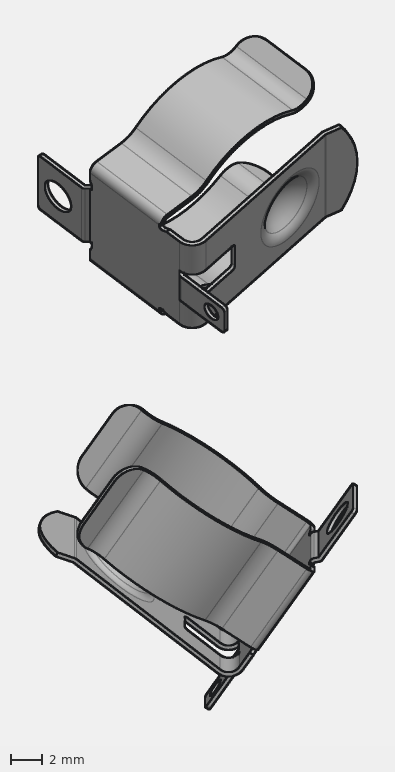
import cadquery as cq
import math

thickness = 0.3

arm_width = 6.38
arm_outer_z = 4.7
flange_radius = 0.6
spring_start_x = 4.89
spring_half_height = 3.96

left_relief_start_x = -3.05
left_relief_bottom = (-3.0, 2.85)
left_relief_turn = (-3.07, 3.07)
left_relief_end_z = 3.41
right_relief_start_x = 3.04
right_relief_bottom = (3.15, 3.85)
right_relief_turn = (3.38, 3.81)
right_relief_end_x = 3.73

arm_root_length = 2.2
arm_crown_z = 6.65
neck_radius = 2.1
crown_radius = 6.99
crown_fall_angle = 29.2
throat_radius = 1.28
lead_in_angle = 31.0
lead_in_length = 1.48
lead_in_corner_radius = 1.46

spring_bend_radius = 1.15
spring_lean = 5.0
spring_length = 11.76
kink_radius = 0.15
tip_lean = 14.5
tip_length = 2.34
tip_nose_radius = 7.27
slot_height = 2.32
slot_end_y = 4.1

dimple_y = 9.48
dimple_foot_radius = 2.87
dimple_rise = 1.28
dimple_crown_radius = 3.1

tab_drop = 0.3
jog_angle = 45.0
corner_radius = 0.25
left_tab_reach = 7.56
left_tab_height = 5.1
left_hole_diameter = 2.37
left_hole_x = 5.76
right_tab_reach = 9.24
right_hole_diameter = 1.23
right_hole_x = 8.06

GAP = 1.68e-07
XY = cq.Plane.XY()
ZY = cq.Plane(origin=(0, 0, 0), xDir=(0, 0, 1), normal=(-1, 0, 0))


def step(point, heading, length):
    """Point reached by going a length along a heading in degrees."""
    angle = math.radians(heading)
    return point[0] + length * math.cos(angle), point[1] + length * math.sin(angle)


def follow(outline, start, stretches):
    """Add straight or round stretches, given as (middle, end), and skip those of no length."""
    for middle, end in stretches:
        chord = math.dist(start, end)
        bulge = math.dist(middle, ((start[0] + end[0]) / 2, (start[1] + end[1]) / 2))
        if chord > GAP and bulge > GAP:
            outline = outline.threePointArc(middle, end)
        elif chord > GAP:
            outline = outline.lineTo(*end)
        start = end
    return outline


def bent_strip(plane, start, moves, width):
    """Bend a strip along moves, first heading along the plane's x axis.

    A move is (length,) for a flat or (radius, turn) for a bend, left turns positive.
    The moves follow the right-hand face and the thickness lies to its left.
    Returns the strip and the end point and heading of its right-hand face.
    """
    point = start
    heading = 0.0
    right_face = []
    left_face = []
    for move in moves:
        if len(move) == 1:
            middle = step(point, heading, move[0] / 2)
            point = step(point, heading, move[0])
            middle_heading = heading
        else:
            radius, turn = move
            side = math.copysign(90, turn)
            centre = step(point, heading + side, radius)
            middle_heading = heading + turn / 2
            heading += turn
            middle = step(centre, middle_heading - side, radius)
            point = step(centre, heading - side, radius)
        right_face.append((middle, point))
        left_face.append((step(middle, middle_heading + 90, thickness), step(point, heading + 90, thickness)))

    left_ends = [step(start, 90, thickness)] + [end for _, end in left_face]
    way_back = [(left_face[i][0], left_ends[i]) for i in reversed(range(len(moves)))]
    outline = cq.Workplane(plane).moveTo(*start)
    outline = follow(outline, start, right_face)
    outline = follow(outline.lineTo(*left_ends[-1]), left_ends[-1], way_back)
    return outline.close().extrude(width / 2, both=True), point, heading


def base_plate():
    """Flat base with corner reliefs beside the left tab and the spring plate."""
    edge_x = arm_width / 2
    top_z = arm_outer_z - flange_radius
    upper_half = (
        cq.Workplane("XZ")
        .moveTo(-edge_x, 0)
        .lineTo(-edge_x, left_tab_height / 2)
        .lineTo(left_relief_start_x, left_tab_height / 2)
        .threePointArc(left_relief_bottom, left_relief_turn)
        .tangentArcPoint((-edge_x, left_relief_end_z), relative=False)
        .lineTo(-edge_x, top_z)
        .lineTo(right_relief_start_x, top_z)
        .threePointArc(right_relief_bottom, right_relief_turn)
        .tangentArcPoint((right_relief_end_x, spring_half_height), relative=False)
        .lineTo(spring_start_x, spring_half_height)
        .lineTo(spring_start_x, 0)
        .close()
        .extrude(-thickness)
    )
    return upper_half.union(upper_half.mirror("XY"))


def clip_arm():
    """Upper arm: flange bend, flat root, neck, round crown, throat and flared lead-in."""
    rise_ratio = (arm_crown_z - arm_outer_z) / (neck_radius + crown_radius)
    climb_angle = math.degrees(math.acos(1 - rise_ratio))
    moves = [
        (flange_radius, 90),
        (arm_root_length,),
        (neck_radius, -climb_angle),
        (crown_radius, climb_angle + crown_fall_angle),
        (throat_radius, -crown_fall_angle - lead_in_angle),
        (lead_in_length,),
    ]
    arm, _, _ = bent_strip(ZY, (arm_outer_z - flange_radius, 0), moves, arm_width)
    return arm.faces(">Y").edges("#X").fillet(lead_in_corner_radius)


def spring_plate():
    """Leaning plate with a slot at its foot, a dimple and a kinked tip with a round nose."""
    moves = [
        (spring_bend_radius, 90 + spring_lean),
        (spring_length,),
        (kink_radius, -spring_lean - tip_lean),
        (tip_length,),
    ]
    plate, tip, tip_heading = bent_strip(XY, (spring_start_x, 0), moves, 2 * spring_half_height)
    slot = (
        cq.Workplane("XY")
        .box(2 * spring_bend_radius, 2 * slot_end_y, slot_height)
        .faces(">Y")
        .edges("|X")
        .fillet(corner_radius)
        .translate((spring_start_x + spring_bend_radius, 0, 0))
    )
    plate = plate.cut(slot).intersect(nose_blank(tip, tip_heading))
    return add_dimple(plate)


def nose_blank(tip, tip_heading):
    """Disc across the tip that trims it to the nose arc, joined to a block holding the rest of the plate."""
    x_across, y_across = step((0, 0), tip_heading - 90, 1)
    centre = step(tip, tip_heading, -tip_nose_radius)
    across = cq.Plane(origin=(*centre, 0), xDir=(0, 0, 1), normal=(x_across, y_across, 0))
    reach = 4 * tip_nose_radius
    disc = cq.Workplane(across).circle(tip_nose_radius).extrude(reach / 2, both=True)
    block = (
        cq.Workplane(across)
        .center(0, reach / 2)
        .rect(reach, reach)
        .extrude(reach / 2, both=True)
    )
    return disc.union(block)


def add_dimple(plate):
    """Press a hollow dome of uniform thickness out of the plate, towards the arms."""
    bend_end_y = spring_bend_radius * (1 + math.sin(math.radians(spring_lean)))
    bend_end_x = spring_start_x + spring_bend_radius * math.cos(math.radians(spring_lean))
    along_x, along_y = step((0, 0), 90 + spring_lean, 1)
    back_x, back_y = step((bend_end_x, bend_end_y), 180 + spring_lean, thickness)
    distance = (dimple_y - back_y) / along_y
    foot = (back_x + distance * along_x, dimple_y, 0)

    slope = 2 * math.atan(dimple_rise / dimple_foot_radius)
    foot_fillet = dimple_foot_radius / math.sin(slope) - dimple_crown_radius
    crown_centre = (0, dimple_rise - dimple_crown_radius)
    fillet_centre = (dimple_foot_radius, foot_fillet)

    def crown(radius, angle):
        return crown_centre[0] + radius * math.sin(angle), crown_centre[1] + radius * math.cos(angle)

    def fillet(radius, angle):
        return fillet_centre[0] - radius * math.sin(angle), fillet_centre[1] - radius * math.cos(angle)

    crown_inner = dimple_crown_radius - thickness
    fillet_outer = foot_fillet + thickness
    section_plane = cq.Plane(origin=foot, xDir=(0, 0, 1), normal=(-along_x, -along_y, 0))
    dome = (
        cq.Workplane(section_plane)
        .moveTo(*crown(dimple_crown_radius, 0))
        .threePointArc(crown(dimple_crown_radius, slope / 2), crown(dimple_crown_radius, slope))
        .threePointArc(fillet(foot_fillet, slope / 2), fillet(foot_fillet, 0))
        .lineTo(*fillet(fillet_outer, 0))
        .threePointArc(fillet(fillet_outer, slope / 2), fillet(fillet_outer, slope))
        .threePointArc(crown(crown_inner, slope / 2), crown(crown_inner, 0))
        .close()
        .revolve(360, (0, 0), (0, 1))
    )
    opening_plane = cq.Plane(origin=foot, xDir=(0, 0, 1), normal=(-along_y, along_x, 0))
    opening = cq.Workplane(opening_plane).circle(dimple_foot_radius).extrude(2 * thickness, both=True)
    return plate.cut(opening).union(dome)


def mounting_tab(start_x, reach, height, hole_x, hole_diameter):
    """Tab towards +X, jogged forward of the base, with rounded corners and a hole."""
    jog = math.radians(jog_angle)
    jog_length = (tab_drop - thickness * (1 - math.cos(jog))) / math.sin(jog)
    jog_reach = jog_length * math.cos(jog) + thickness * math.sin(jog)
    moves = [
        (0, -jog_angle),
        (jog_length,),
        (thickness, jog_angle),
        (reach - start_x - jog_reach,),
    ]
    tab, _, _ = bent_strip(XY, (start_x, 0), moves, height)
    hole = cq.Workplane("XZ").center(hole_x, 0).circle(hole_diameter / 2).extrude(2 * tab_drop, both=True)
    return tab.faces(">X").edges("|Y").fillet(corner_radius).cut(hole)


arm = clip_arm()
left_tab = mounting_tab(arm_width / 2, left_tab_reach, left_tab_height, left_hole_x, left_hole_diameter)
right_tab = mounting_tab(spring_start_x, right_tab_reach, slot_height, right_hole_x, right_hole_diameter)

result = (
    base_plate()
    .union(arm)
    .union(arm.mirror("XY"))
    .union(spring_plate())
    .union(left_tab.mirror("YZ"))
    .union(right_tab)
)